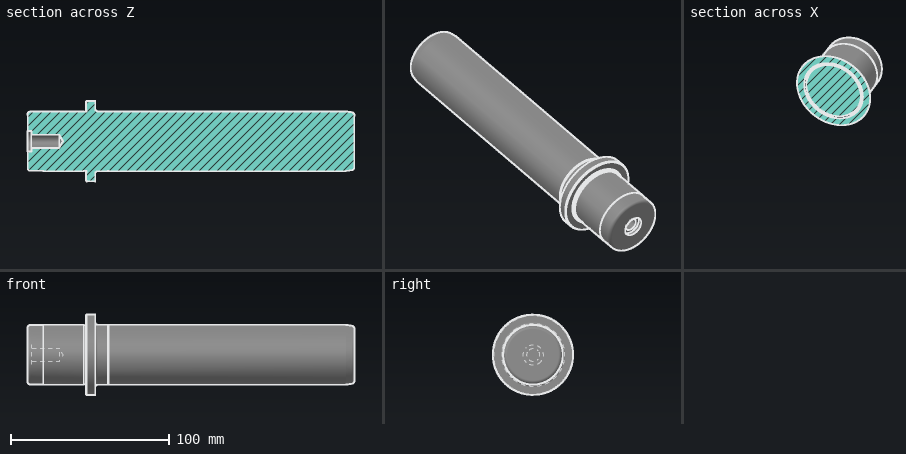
import cadquery as cq
import math

total_length = 207.0
body_diameter = 38.0
body_radius = body_diameter / 2

left_end_fillet = 2.0
pilot_length = 10.0
pilot_depth = 0.1
pilot_radius = body_radius - pilot_depth

flange_diameter = 51.0
flange_radius = flange_diameter / 2
flange_start = 37.0
flange_width = 6.0
flange_end = flange_start + flange_width
flange_chamfer = 0.5
flange_root_fillet = 1.5

undercut_width = 1.2
undercut_depth = 0.3
undercut_face_depth = 0.3
undercut_face_height = 0.9

narrow_groove_start = 50.8
narrow_groove_width = 0.6
narrow_groove_depth = 0.2

lead_in_length = 5.5
lead_in_depth = 0.5
nose_radius = 2.2

counterbore_diameter = 12.8
counterbore_depth = 2.5
hole_diameter = 8.2
hole_depth = 20.0
drill_point_angle = 118.0


def make_body():
    """Turn the pin outline about the X axis."""
    nose_start = total_length - nose_radius
    nose_outer_radius = body_radius - lead_in_depth
    nose_shift = nose_radius * math.sqrt(0.5)
    outline = (
        cq.Workplane("XY")
        .moveTo(0, 0)
        .lineTo(0, pilot_radius - left_end_fillet)
        .radiusArc((left_end_fillet, pilot_radius), left_end_fillet)
        .lineTo(pilot_length, pilot_radius)
        .lineTo(pilot_length, body_radius)
        .lineTo(flange_start, body_radius)
        .lineTo(flange_start, flange_radius - flange_chamfer)
        .lineTo(flange_start + flange_chamfer, flange_radius)
        .lineTo(flange_end, flange_radius)
        .lineTo(flange_end, body_radius + flange_root_fillet)
        .radiusArc((flange_end + flange_root_fillet, body_radius), -flange_root_fillet)
        .lineTo(total_length - lead_in_length, body_radius)
        .lineTo(nose_start, nose_outer_radius)
        .threePointArc(
            (nose_start + nose_shift, nose_outer_radius - nose_radius + nose_shift),
            (total_length, nose_outer_radius - nose_radius),
        )
        .lineTo(total_length, 0)
        .close()
    )
    return outline.revolve(360, (0, 0, 0), (1, 0, 0))


def make_ring(start, width, inner_radius, outer_radius):
    """Ring about the X axis, used to cut a groove."""
    return (
        cq.Workplane("YZ", origin=(start, 0, 0))
        .circle(outer_radius)
        .circle(inner_radius)
        .extrude(width)
    )


def make_undercut():
    """Ring that relieves the corner between the body and the flange's left face."""
    return make_ring(
        flange_start - undercut_width,
        undercut_width + undercut_face_depth,
        body_radius - undercut_depth,
        body_radius + undercut_face_height,
    )


def make_narrow_groove():
    """Ring for the fine groove behind the flange."""
    return make_ring(
        narrow_groove_start,
        narrow_groove_width,
        body_radius - narrow_groove_depth,
        body_radius,
    )


def make_centre_hole():
    """Counterbored blind hole with a conical drill point."""
    hole_radius = hole_diameter / 2
    point_length = hole_radius / math.tan(math.radians(drill_point_angle / 2))
    return (
        cq.Workplane("XY")
        .moveTo(0, 0)
        .lineTo(0, counterbore_diameter / 2)
        .lineTo(counterbore_depth, counterbore_diameter / 2)
        .lineTo(counterbore_depth, hole_radius)
        .lineTo(hole_depth, hole_radius)
        .lineTo(hole_depth + point_length, 0)
        .close()
        .revolve(360, (0, 0, 0), (1, 0, 0))
    )


result = make_body()
result = result.cut(make_undercut())
result = result.cut(make_narrow_groove())
result = result.cut(make_centre_hole())